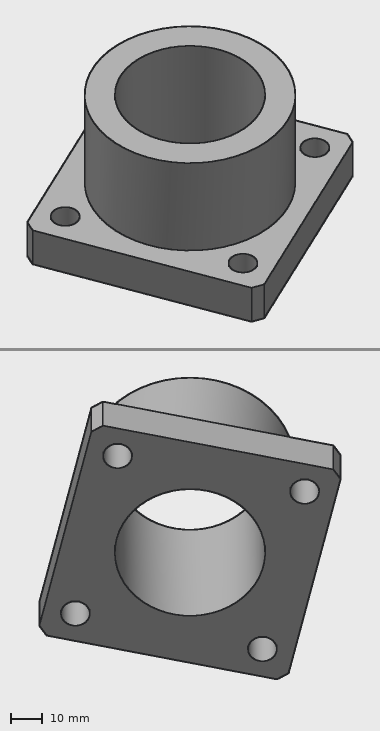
import cadquery as cq

plate_side = 80.0
plate_thickness = 14.0
corner_chamfer = 3.0

total_height = 50.0
sleeve_diameter = 66.0
bore_diameter = 47.0

hole_diameter = 9.0
hole_spacing = 60.0


def make_plate():
    """Square plate with chamfered vertical corners, its underside at Z = 0."""
    plate = cq.Workplane("XY").rect(plate_side, plate_side).extrude(plate_thickness)
    return plate.edges("|Z").chamfer(corner_chamfer)


def make_sleeve():
    """Solid cylinder from the underside of the plate to the full height."""
    return cq.Workplane("XY").circle(sleeve_diameter / 2).extrude(total_height)


def make_bore():
    """Central bore through the sleeve and the plate."""
    return cq.Workplane("XY").circle(bore_diameter / 2).extrude(total_height)


def make_mounting_holes():
    """Four through holes on a square pattern."""
    return (
        cq.Workplane("XY")
        .rect(hole_spacing, hole_spacing, forConstruction=True)
        .vertices()
        .circle(hole_diameter / 2)
        .extrude(plate_thickness)
    )


body = make_plate().union(make_sleeve())
result = body.cut(make_bore()).cut(make_mounting_holes())